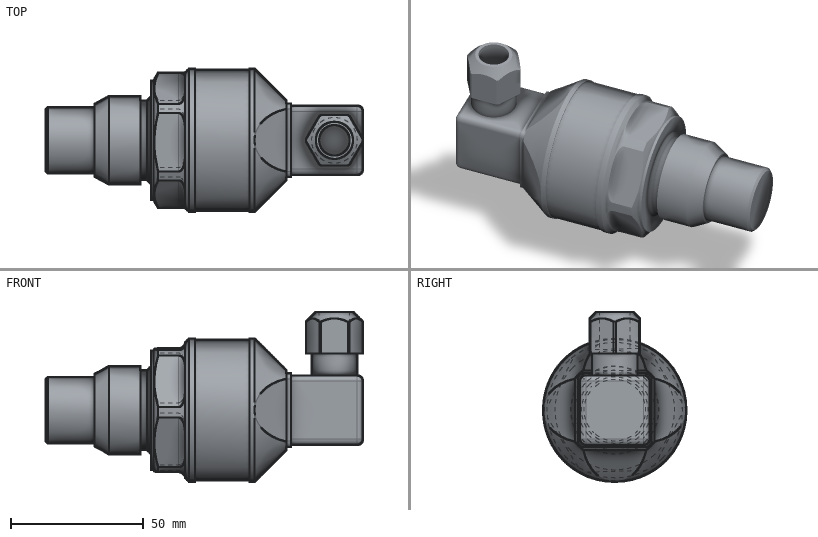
import cadquery as cq
import math


HEX_SIDES = 6

TIP_DIA = 25.0
TIP_CHAMFER = 0.9
TIP_END_X = 18.4
NOSE_CONE_DIA = 27.2
NOSE_DIA = 33.25
NOSE_CONE_END_X = 23.9
NOSE_END_X = 35.7
NECK_DIA = 30.1
NECK_END_X = 38.3

COLLAR_DIA = 45.0
COLLAR_X = 39.7
COLLAR_LENGTH = 1.0
HEX_CORNER_DIA = 51.0
HEX_FLATS = 46.0
HEX_CHAMFER_ANGLE = 30.0
HEX_TURN_ANGLE = 1.8
HEX_END_X = 52.6

RIM_DIA = 54.0
BODY_DIA = 53.2
FRONT_RIM_LENGTH = 2.2
REAR_RIM_X = 76.8
REAR_RIM_LENGTH = 1.9

SHOULDER_SIDES = 4
SHOULDER_LENGTH = 12.0
SHOULDER_END_DIA = 38.2

FLANGE_WIDTH = 27.8
FLANGE_LENGTH = 1.8
BLOCK_WIDTH = 26.2
BLOCK_END_X = 119.55
BLOCK_ROUND = 2.2

GLAND_X = 108.8
GLAND_STEM_DIA = 17.2
GLAND_BORE_DIA = 11.5
GLAND_NUT_FLATS = 19.0
GLAND_NUT_CORNER_DIA = 21.5
GLAND_NUT_Z = 21.3
GLAND_TOP_Z = 37.05
GLAND_TOP_DIA = 14.0

collar_end_x = COLLAR_X + COLLAR_LENGTH
hex_chamfer_height = (HEX_CORNER_DIA - COLLAR_DIA) / 2
hex_chamfer_end_x = collar_end_x + hex_chamfer_height * math.tan(math.radians(HEX_CHAMFER_ANGLE))
neck_flare_dia = NECK_DIA + 2 * (COLLAR_X - NECK_END_X)
front_rim_x = HEX_END_X + (RIM_DIA - HEX_CORNER_DIA) / 2
front_rim_end_x = front_rim_x + FRONT_RIM_LENGTH
shoulder_x = REAR_RIM_X + REAR_RIM_LENGTH
shoulder_end_x = shoulder_x + SHOULDER_LENGTH
flange_end_x = shoulder_end_x + FLANGE_LENGTH


def make_turned_body():
    """Revolve the stepped profile, given as (X, diameter) stations."""
    stations = [
        (0, TIP_DIA - 2 * TIP_CHAMFER),
        (TIP_CHAMFER, TIP_DIA),
        (TIP_END_X, TIP_DIA),
        (TIP_END_X, NOSE_CONE_DIA),
        (NOSE_CONE_END_X, NOSE_DIA),
        (NOSE_END_X, NOSE_DIA),
        (NOSE_END_X, NECK_DIA),
        (NECK_END_X, NECK_DIA),
        (COLLAR_X, neck_flare_dia),
        (COLLAR_X, COLLAR_DIA),
        (collar_end_x, COLLAR_DIA),
        (hex_chamfer_end_x, HEX_CORNER_DIA),
        (HEX_END_X, HEX_CORNER_DIA),
        (front_rim_x, RIM_DIA),
        (front_rim_end_x, RIM_DIA),
        (front_rim_end_x, BODY_DIA),
        (REAR_RIM_X, BODY_DIA),
        (REAR_RIM_X, RIM_DIA),
        (shoulder_x, RIM_DIA),
        (shoulder_end_x, SHOULDER_END_DIA),
    ]
    outline = [(x, dia / 2) for x, dia in stations]
    outline = [(0, 0)] + outline + [(shoulder_end_x, 0)]
    return cq.Workplane("XY").polyline(outline).close().revolve(360, (0, 0, 0), (1, 0, 0))


def cut_hexagon_flats(body):
    """Mill six flats, turned slightly about the axis, each ending in a quarter-round run-out."""
    flat_height = HEX_FLATS / 2
    corner_height = HEX_CORNER_DIA / 2
    runout_radius = corner_height - flat_height
    runout_x = HEX_END_X - runout_radius
    diagonal = runout_radius * math.sqrt(0.5)
    arc_middle = (runout_x + diagonal, corner_height - diagonal)
    cutter = (
        cq.Workplane("XZ")
        .moveTo(COLLAR_X, flat_height)
        .lineTo(runout_x, flat_height)
        .threePointArc(arc_middle, (HEX_END_X, corner_height))
        .lineTo(COLLAR_X, corner_height)
        .close()
        .extrude(corner_height, both=True)
    )
    for side in range(HEX_SIDES):
        body = body.cut(cutter.rotate((0, 0, 0), (1, 0, 0), HEX_TURN_ANGLE + side * 360 / HEX_SIDES))
    return body


def cut_shoulder_flats(body):
    """Trim the shoulder cone with four flats that slope inwards at 45 degrees."""
    rim_height = RIM_DIA / 2
    cutter = (
        cq.Workplane("XZ")
        .moveTo(shoulder_x, rim_height)
        .lineTo(shoulder_end_x, rim_height - SHOULDER_LENGTH)
        .lineTo(shoulder_end_x, rim_height)
        .close()
        .extrude(rim_height, both=True)
    )
    for side in range(SHOULDER_SIDES):
        body = body.cut(cutter.rotate((0, 0, 0), (1, 0, 0), side * 360 / SHOULDER_SIDES))
    return body


def make_block():
    """Rounded square block with a slightly wider flange against the shoulder."""
    flange = (
        cq.Workplane("YZ", origin=(shoulder_end_x, 0, 0))
        .rect(FLANGE_WIDTH, FLANGE_WIDTH)
        .extrude(FLANGE_LENGTH)
        .edges("|X")
        .fillet(BLOCK_ROUND)
    )
    block = (
        cq.Workplane("YZ", origin=(flange_end_x, 0, 0))
        .rect(BLOCK_WIDTH, BLOCK_WIDTH)
        .extrude(BLOCK_END_X - flange_end_x)
        .edges("|X or >X")
        .fillet(BLOCK_ROUND)
    )
    return flange.union(block)


def make_gland():
    """Round stem carrying a hexagon nut with a 45 degree cone on top and a blind bore."""
    nut_height = GLAND_TOP_Z - GLAND_NUT_Z
    cone_height = (GLAND_NUT_CORNER_DIA - GLAND_TOP_DIA) / 2
    sharp_corner_dia = GLAND_NUT_FLATS / math.cos(math.pi / HEX_SIDES)
    block_top_z = BLOCK_WIDTH / 2

    stem = (
        cq.Workplane("XY", origin=(GLAND_X, 0, block_top_z))
        .circle(GLAND_STEM_DIA / 2)
        .extrude(GLAND_NUT_Z - block_top_z)
    )
    nut_plane = cq.Workplane("XY", origin=(GLAND_X, 0, GLAND_NUT_Z))
    hexagon = nut_plane.polygon(HEX_SIDES, sharp_corner_dia).extrude(nut_height)
    turned_blank = (
        nut_plane.circle(GLAND_NUT_CORNER_DIA / 2)
        .extrude(nut_height)
        .faces(">Z")
        .chamfer(cone_height)
    )
    bore = nut_plane.circle(GLAND_BORE_DIA / 2).extrude(nut_height)
    return stem.union(hexagon.intersect(turned_blank).cut(bore))


turned_body = cut_shoulder_flats(cut_hexagon_flats(make_turned_body()))
result = turned_body.union(make_block()).union(make_gland())